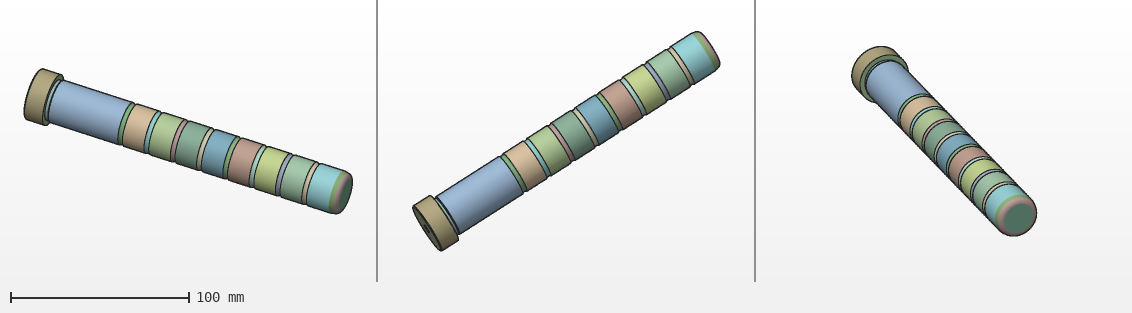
import cadquery as cq
import math

length = 190.0
head_radius = 15.0
head_length = 11.5
head_chamfer = 0.5
shaft_radius = 12.5

relief_radius = 12.0
relief_length = 2.5
relief_taper_angle = 45.0

groove_count = 8
first_groove_x = 57.8
last_groove_x = 169.9
groove_width = 2.8
groove_depth = 0.5

lead_length = 5.0
nose_length = 2.3
nose_start_radius = 12.0
tip_radius = 9.1
nose_bulge = 0.5

center_mouth_radius = 2.7
center_drill_radius = 1.5
center_drill_depth = 5.7
countersink_half_angle = 45.0
drill_point_half_angle = 59.0


def turn(outline):
    """Revolve a closed outline (X along the pin, Y as radius) about the pin axis."""
    return outline.revolve(360, (0, 0, 0), (1, 0, 0))


def pin_body():
    """Headed pin with the relief under the head and the rounded lead-in end."""
    relief_end = head_length + relief_length
    relief_taper_length = (shaft_radius - relief_radius) / math.tan(math.radians(relief_taper_angle))
    nose_start = length - nose_length
    outline = (
        cq.Workplane("XY")
        .lineTo(0, head_radius - head_chamfer)
        .lineTo(head_chamfer, head_radius)
        .lineTo(head_length, head_radius)
        .lineTo(head_length, relief_radius)
        .lineTo(relief_end - relief_taper_length, relief_radius)
        .lineTo(relief_end, shaft_radius)
        .lineTo(length - lead_length, shaft_radius)
        .lineTo(nose_start, nose_start_radius)
        .sagittaArc((length, tip_radius), nose_bulge)
        .lineTo(length, 0)
        .close()
    )
    return turn(outline)


def oil_groove(center_x):
    """Ring whose round inner side cuts one groove into the shaft."""
    left = center_x - groove_width / 2
    right = center_x + groove_width / 2
    outline = (
        cq.Workplane("XY")
        .moveTo(left, shaft_radius)
        .threePointArc((center_x, shaft_radius - groove_depth), (right, shaft_radius))
        .lineTo(right, head_radius)
        .lineTo(left, head_radius)
        .close()
    )
    return turn(outline)


def center_hole():
    """Countersunk blind hole with a conical drill point, entering from the head face."""
    mouth_step = center_mouth_radius - center_drill_radius
    countersink_depth = mouth_step / math.tan(math.radians(countersink_half_angle))
    drill_point_length = center_drill_radius / math.tan(math.radians(drill_point_half_angle))
    outline = (
        cq.Workplane("XY")
        .lineTo(0, center_mouth_radius)
        .lineTo(countersink_depth, center_drill_radius)
        .lineTo(center_drill_depth, center_drill_radius)
        .lineTo(center_drill_depth + drill_point_length, 0)
        .close()
    )
    return turn(outline)


result = pin_body().cut(center_hole())
groove_pitch = (last_groove_x - first_groove_x) / (groove_count - 1)
for index in range(groove_count):
    result = result.cut(oil_groove(first_groove_x + index * groove_pitch))